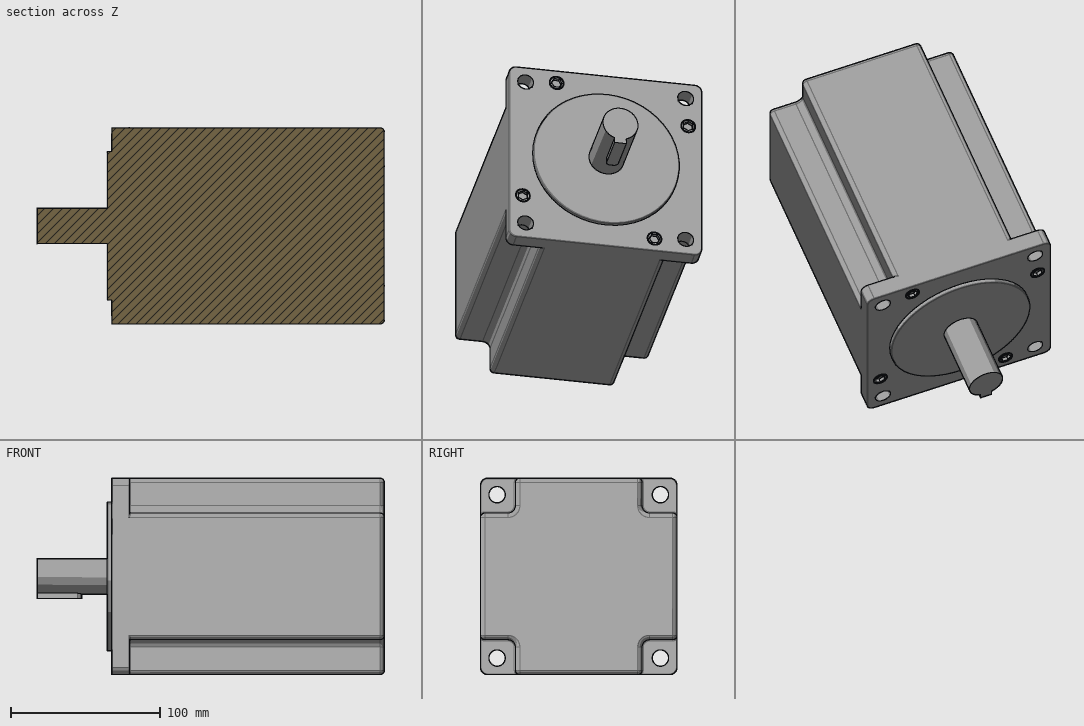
import cadquery as cq

FRAME_SIZE = 132.0
FLANGE_THICKNESS = 12.0
BODY_END = 183.0
SHAFT_LENGTH = 50.0

FLANGE_CORNER_RADIUS = 5.0
FLANGE_EDGE_RADIUS = 0.5
MOUNT_HOLE_SPACING = 109.6
MOUNT_HOLE_DIAMETER = 10.8

BODY_START = FLANGE_THICKNESS / 2
LOBE_WIDTH = 85.0
LOBE_CORNER_RADIUS = 3.0
NOTCH_INNER_RADIUS = 5.0
NOTCH_END_RADIUS = 0.8
REAR_EDGE_RADIUS = 3.0

PILOT_DIAMETER = 100.0
PILOT_HEIGHT = 3.0
PILOT_EDGE_RADIUS = 0.5
SHAFT_DIAMETER = 24.0
KEY_WIDTH = 8.0
KEY_LENGTH = 30.0
KEY_REACH = 15.0
KEY_CORNER_RADIUS = 3.0

SCREW_COUNT = 4
SCREW_Y = 33.5
SCREW_Z = 56.6
SCREW_RECESS_DIAMETER = 10.0
SCREW_HEAD_DIAMETER = 9.0
SCREW_GAP_DEPTH = 0.3
SOCKET_SIDES = 6
SOCKET_CORNER_DIAMETER = 7.2
SOCKET_DEPTH = 2.5

POSITION_TOLERANCE = 0.01


def plane_at(x):
    """Workplane across the motor axis at X = x; local x is +Y and local y is +Z."""
    return cq.Workplane("YZ", origin=(x, 0, 0))


def box_around_axis(start, end, half_width):
    """Selector for edges centred between two X positions and near the axis."""
    return cq.selectors.BoxSelector(
        (start, -half_width, -half_width),
        (end, half_width, half_width),
    )


def make_body():
    """Cross-shaped housing, rounded along its length and around its rear face."""
    length = BODY_END - BODY_START
    flat_lobes = plane_at(BODY_START).rect(FRAME_SIZE, LOBE_WIDTH).extrude(length)
    tall_lobes = plane_at(BODY_START).rect(LOBE_WIDTH, FRAME_SIZE).extrude(length)
    body = flat_lobes.union(tall_lobes)

    half_lobe = LOBE_WIDTH / 2 + POSITION_TOLERANCE
    notch_corners = box_around_axis(BODY_START, BODY_END, half_lobe)
    body = body.edges("|X").edges(notch_corners).fillet(NOTCH_INNER_RADIUS)

    for axis_rows in ("|X and (>Y or <Y)", "|X and (>Z or <Z)"):
        body = body.edges(axis_rows).fillet(LOBE_CORNER_RADIUS)
    return body.faces(">X").edges().fillet(REAR_EDGE_RADIUS)


def make_flange():
    flange = plane_at(0).rect(FRAME_SIZE, FRAME_SIZE).extrude(FLANGE_THICKNESS)
    flange = flange.edges("|X").fillet(FLANGE_CORNER_RADIUS)
    return flange.faces("<X or >X").edges().fillet(FLANGE_EDGE_RADIUS)


def make_housing():
    """Body and flange, with a small fillet where the notch walls meet the flange."""
    housing = make_body().union(make_flange())
    wall_feet = box_around_axis(
        FLANGE_THICKNESS - POSITION_TOLERANCE,
        FLANGE_THICKNESS + POSITION_TOLERANCE,
        FRAME_SIZE / 2 - LOBE_CORNER_RADIUS,
    )
    return housing.edges(wall_feet).fillet(NOTCH_END_RADIUS)


def make_pilot():
    pilot = plane_at(-PILOT_HEIGHT).circle(PILOT_DIAMETER / 2).extrude(PILOT_HEIGHT)
    return pilot.faces("<X").edges().fillet(PILOT_EDGE_RADIUS)


def make_shaft():
    return plane_at(-SHAFT_LENGTH).circle(SHAFT_DIAMETER / 2).extrude(SHAFT_LENGTH)


def make_key():
    """Key below the shaft, starting at the shaft tip and rounded at its inner end."""
    key = (
        cq.Workplane("XY", origin=(-SHAFT_LENGTH, 0, -KEY_REACH))
        .box(KEY_LENGTH, KEY_WIDTH, KEY_REACH, centered=(False, True, False))
    )
    return key.edges("|Z and >X").fillet(KEY_CORNER_RADIUS)


def make_mount_holes():
    return (
        plane_at(0)
        .rect(MOUNT_HOLE_SPACING, MOUNT_HOLE_SPACING, forConstruction=True)
        .vertices()
        .circle(MOUNT_HOLE_DIAMETER / 2)
        .extrude(FLANGE_THICKNESS)
    )


def make_screw_cut():
    """Ring-shaped gap around one screw head, plus its hexagon socket."""
    screw_plane = plane_at(0).center(SCREW_Y, SCREW_Z)
    gap = (
        screw_plane.circle(SCREW_RECESS_DIAMETER / 2)
        .circle(SCREW_HEAD_DIAMETER / 2)
        .extrude(SCREW_GAP_DEPTH)
    )
    socket = screw_plane.polygon(SOCKET_SIDES, SOCKET_CORNER_DIAMETER).extrude(SOCKET_DEPTH)
    return gap.add(socket).combine()


result = make_housing().union(make_pilot()).union(make_shaft()).union(make_key())
result = result.cut(make_mount_holes())
for screw in range(SCREW_COUNT):
    angle = screw * 360 / SCREW_COUNT
    result = result.cut(make_screw_cut().rotate((0, 0, 0), (1, 0, 0), angle))